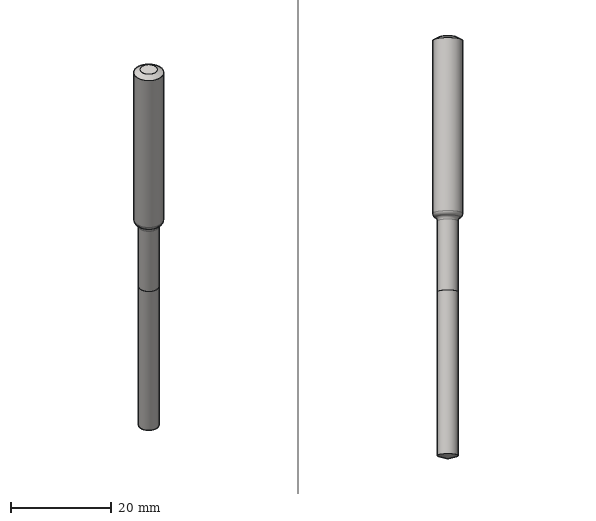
import cadquery as cq

total_length = 86.0
shank_radius = 3.0
stem_diameter = 4.2
stem_radius = stem_diameter / 2

end_face_radius = 1.7
end_chamfer_height = 0.7

shoulder_top = 50.05
shoulder_bottom = 48.5
cutter_top = 34.05
point_height = 0.7

shoulder_middle = (
    (shank_radius + stem_radius) / 2,
    (shoulder_top + shoulder_bottom) / 2,
)


def make_shank():
    """Cylindrical shank with an S-curved shoulder leading down to the neck."""
    profile = (
        cq.Workplane("XZ")
        .moveTo(0, cutter_top)
        .lineTo(stem_radius, cutter_top)
        .lineTo(stem_radius, shoulder_bottom)
        .tangentArcPoint(shoulder_middle, relative=False)
        .tangentArcPoint((shank_radius, shoulder_top), relative=False)
        .lineTo(shank_radius, total_length - end_chamfer_height)
        .lineTo(end_face_radius, total_length)
        .lineTo(0, total_length)
        .close()
    )
    return profile.revolve(360, (0, 0, 0), (0, 1, 0))


def make_cutter():
    """Round cutting section with a shallow conical point, butted against the neck."""
    profile = (
        cq.Workplane("XZ")
        .moveTo(0, 0)
        .lineTo(stem_radius, point_height)
        .lineTo(stem_radius, cutter_top)
        .lineTo(0, cutter_top)
        .close()
    )
    return profile.revolve(360, (0, 0, 0), (0, 1, 0))


shank = make_shank()
cutter = make_cutter()

result = cq.Compound.makeCompound([shank.val(), cutter.val()])